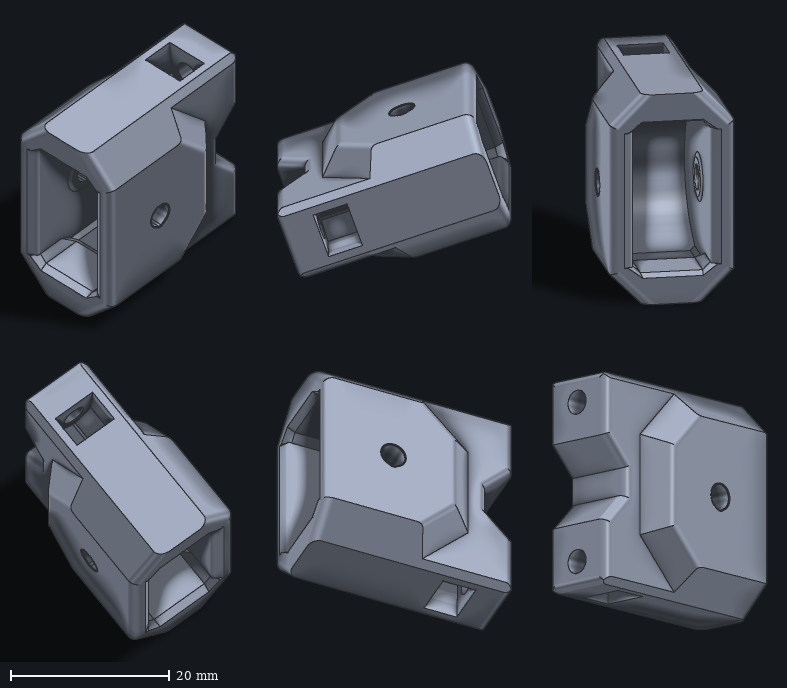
import cadquery as cq
import math

WIDTH = 16.0
LENGTH = 27.5
HEIGHT = 27.6
CORNER = 4.0
EDGE_RADIUS = 1.25
BACK_RADIUS = 1.0
FRONT_Y = -LENGTH / 2
BACK_Y = LENGTH / 2

TONGUE_HALF = 4.9
NOTCH_DEPTH = 3.7
NOTCH_FLOOR_HALF = 1.77
NOTCH_MOUTH_HALF = NOTCH_FLOOR_HALF + NOTCH_DEPTH

CHEEK_BACK_Y = 7.35
CHEEK_BACK_HALF = 6.55
CHEEK_RADIUS = 1.52
FLANK_ANGLE = 45.0
CHEEK_RISE = WIDTH / 2 - TONGUE_HALF

AXLE_Y = -4.33
WHEEL_RADIUS = 9.83
CAVITY_HALF = 5.0
CAVITY_CORNER = 1.0
TEAR_ANGLE = 60.0
WHEEL_TIP_DEPTH = 10.25
WHEEL_TIP_HALF = 4.28

MOUTH_GROWTH = 0.45
MOUTH_DEPTH = 1.1
MOUTH_HALF = 5.75
MOUTH_FLAT_HALF = 3.86
FLARE_HALF = 6.25
FLARE_DEPTH = 0.47
FLARE_HALF_HEIGHT = 8.85
FLARE_ARC_HALF = 5.45

AXLE_RADIUS = 1.6
AXLE_COUNTERBORE = 0.15
AXLE_TIP_RATIO = 1.08
BOSS_RADIUS = 3.15
BOSS_TIP_RADIUS = 2.5
BOSS_HEIGHT = 0.22

POCKET_Y = 7.0
POCKET_LENGTH = 4.53
POCKET_MOUTH_HALF = 2.95
NUT_HALF = 2.68
NUT_TIP_HALF = 0.2
NUT_SLOPE = 30.0
SCREW_Z = 10.35
SCREW_RADIUS = 1.55
POCKET_TAPER_Z = 11.87

OVERSHOOT = 5.52
SELECT_MARGIN = 0.28


def octagon(half_x, half_z, corner_x, corner_z):
    """Corner points of a rectangle with its corners cut off."""
    flat_x = half_x - corner_x
    flat_z = half_z - corner_z
    return [
        (flat_x, half_z), (half_x, flat_z), (half_x, -flat_z), (flat_x, -half_z),
        (-flat_x, -half_z), (-half_x, -flat_z), (-half_x, flat_z), (-flat_x, half_z),
    ]


def teardrop(radius, tip_depth, start_x, length):
    """Round bar along X about the axle, with a flat-ended tip pointing down."""
    angle = math.radians(TEAR_ANGLE)
    tangent_y = radius * math.cos(angle)
    tangent_z = -radius * math.sin(angle)
    tip_z = -tip_depth
    tip_half = tangent_y - (tangent_z - tip_z) * math.tan(angle)
    return (
        cq.Workplane("YZ", origin=(start_x, AXLE_Y, 0))
        .moveTo(-tip_half, tip_z)
        .lineTo(tip_half, tip_z)
        .lineTo(tangent_y, tangent_z)
        .threePointArc((0, radius), (-tangent_y, tangent_z))
        .close()
        .extrude(length)
    )


def octagonal_bar():
    """Full section bar with rounded front edges and rounded top and bottom back edges."""
    bar = (
        cq.Workplane("XZ", origin=(0, BACK_Y, 0))
        .polyline(octagon(WIDTH / 2, HEIGHT / 2, CORNER, CORNER)).close()
        .extrude(LENGTH)
    )
    sides = bar.faces("<Y").edges("not(>Z or <Z)")
    bar = sides.fillet(EDGE_RADIUS)
    return bar.faces(">Y").edges(">Z or <Z").fillet(BACK_RADIUS)


def tongue():
    """Plate along the whole bar, notched at the back, with rounded back edges."""
    outline = [
        (FRONT_Y, HEIGHT / 2), (BACK_Y, HEIGHT / 2),
        (BACK_Y, NOTCH_MOUTH_HALF), (BACK_Y - NOTCH_DEPTH, NOTCH_FLOOR_HALF),
        (BACK_Y - NOTCH_DEPTH, -NOTCH_FLOOR_HALF), (BACK_Y, -NOTCH_MOUTH_HALF),
        (BACK_Y, -HEIGHT / 2), (FRONT_Y, -HEIGHT / 2),
    ]
    plate = (
        cq.Workplane("YZ", origin=(-TONGUE_HALF, 0, 0))
        .polyline(outline).close()
        .extrude(2 * TONGUE_HALF)
    )
    back_edges = cq.selectors.BoxSelector(
        (-WIDTH, BACK_Y - NOTCH_DEPTH - SELECT_MARGIN, SELECT_MARGIN - HEIGHT / 2),
        (WIDTH, BACK_Y + SELECT_MARGIN, HEIGHT / 2 - SELECT_MARGIN),
    )
    return plate.edges("<X or >X").edges(back_edges).fillet(EDGE_RADIUS)


def cheek(side):
    """One thick side: a flat pad with 45 degree flanks towards the tongue."""
    reach = HEIGHT / 2 + OVERSHOOT
    flank_run = reach - CHEEK_BACK_HALF
    pad = (
        cq.Workplane("YZ", origin=(side * TONGUE_HALF, 0, 0))
        .polyline([
            (CHEEK_BACK_Y, CHEEK_BACK_HALF), (CHEEK_BACK_Y - flank_run, reach),
            (FRONT_Y - OVERSHOOT, reach), (FRONT_Y - OVERSHOOT, -reach),
            (CHEEK_BACK_Y - flank_run, -reach), (CHEEK_BACK_Y, -CHEEK_BACK_HALF),
        ]).close()
        .extrude(side * CHEEK_RISE, taper=FLANK_ANGLE)
    )
    rim = pad.faces(">X" if side > 0 else "<X")
    return rim.edges("not(<Y or <Z or >Z)").fillet(CHEEK_RADIUS)


def side_flares(half_height):
    """Wedge at the front face whose sides flare out, rounded where they leave the cavity walls."""
    flare = (
        cq.Workplane("XY", origin=(0, 0, -half_height))
        .moveTo(0, FRONT_Y)
        .lineTo(FLARE_HALF, FRONT_Y)
        .lineTo(FLARE_ARC_HALF, FRONT_Y + FLARE_DEPTH)
        .tangentArcPoint((CAVITY_HALF, FRONT_Y + MOUTH_DEPTH), relative=False)
        .lineTo(0, FRONT_Y + MOUTH_DEPTH)
        .close()
        .extrude(2 * half_height)
    )
    return flare.union(flare.mirror("YZ"))


def wheel_cavity():
    """Octagonal recess whose back follows the wheel, with a tapered mouth."""
    round_back = teardrop(WHEEL_RADIUS, WHEEL_TIP_DEPTH, -CAVITY_HALF, 2 * CAVITY_HALF)
    tip_limits = (
        cq.Workplane("XZ", origin=(0, BACK_Y, 0))
        .polyline([
            (CAVITY_HALF, WHEEL_RADIUS), (CAVITY_HALF, -WHEEL_RADIUS), (WHEEL_TIP_HALF, -WHEEL_TIP_DEPTH),
            (-WHEEL_TIP_HALF, -WHEEL_TIP_DEPTH), (-CAVITY_HALF, -WHEEL_RADIUS), (-CAVITY_HALF, WHEEL_RADIUS),
        ]).close()
        .extrude(LENGTH + OVERSHOOT)
    )
    round_back = round_back.intersect(tip_limits)
    front_part = (
        cq.Workplane("XZ", origin=(0, AXLE_Y, 0))
        .polyline(octagon(CAVITY_HALF, WHEEL_RADIUS, CAVITY_CORNER, CAVITY_CORNER)).close()
        .extrude(AXLE_Y - FRONT_Y)
    )
    mouth_half_z = WHEEL_RADIUS + MOUTH_GROWTH
    mouth_corner_z = mouth_half_z - FLARE_HALF_HEIGHT
    mouth = (
        cq.Workplane("XZ", origin=(0, FRONT_Y, 0))
        .polyline(octagon(MOUTH_HALF, mouth_half_z, MOUTH_HALF - MOUTH_FLAT_HALF, mouth_corner_z)).close()
        .workplane(offset=-MOUTH_DEPTH)
        .polyline(octagon(CAVITY_HALF, WHEEL_RADIUS, CAVITY_CORNER, CAVITY_CORNER)).close()
        .loft(ruled=True)
    )
    mouth = mouth.intersect(side_flares(mouth_half_z))
    mouth = mouth.union(side_flares(FLARE_HALF_HEIGHT))
    return round_back.union(front_part).union(mouth)


def bosses():
    """Conical pads on the inner cavity walls around the axle."""
    boss = (
        cq.Workplane("YZ", origin=(-CAVITY_HALF, AXLE_Y, 0))
        .circle(BOSS_RADIUS)
        .workplane(offset=BOSS_HEIGHT)
        .circle(BOSS_TIP_RADIUS)
        .loft()
    )
    return boss.union(boss.mirror("YZ"))


def axle_hole():
    """Teardrop hole through both sides, stepped wider at the outer faces."""
    hole = teardrop(AXLE_RADIUS, AXLE_TIP_RATIO * AXLE_RADIUS, -WIDTH / 2, WIDTH)
    rim_radius = AXLE_RADIUS + AXLE_COUNTERBORE
    rim = teardrop(rim_radius, AXLE_TIP_RATIO * rim_radius, -WIDTH / 2, AXLE_COUNTERBORE)
    return hole.union(rim).union(rim.mirror("YZ"))


def nut_pocket():
    """Slot from the top face for a hexagonal nut, with the screw hole from the back."""
    slope = math.tan(math.radians(NUT_SLOPE))
    shoulder_z = SCREW_Z - NUT_HALF * slope
    tip_z = shoulder_z - (NUT_HALF - NUT_TIP_HALF) * slope
    right_side = [
        (POCKET_MOUTH_HALF, HEIGHT / 2), (POCKET_MOUTH_HALF, POCKET_TAPER_Z),
        (NUT_HALF, SCREW_Z), (NUT_HALF, shoulder_z), (NUT_TIP_HALF, tip_z),
    ]
    left_side = [(-x, z) for x, z in reversed(right_side)]
    slot = (
        cq.Workplane("XZ", origin=(0, POCKET_Y + POCKET_LENGTH / 2, 0))
        .polyline(right_side + left_side).close()
        .extrude(POCKET_LENGTH)
    )
    screw_hole = (
        cq.Workplane("XZ", origin=(0, BACK_Y, SCREW_Z))
        .circle(SCREW_RADIUS)
        .extrude(BACK_Y - POCKET_Y)
    )
    return slot.union(screw_hole)


body = tongue().union(cheek(-1)).union(cheek(1)).intersect(octagonal_bar())
body = body.cut(wheel_cavity())
body = body.union(bosses()).cut(axle_hole())

pocket = nut_pocket()
result = body.cut(pocket).cut(pocket.mirror("XY"))